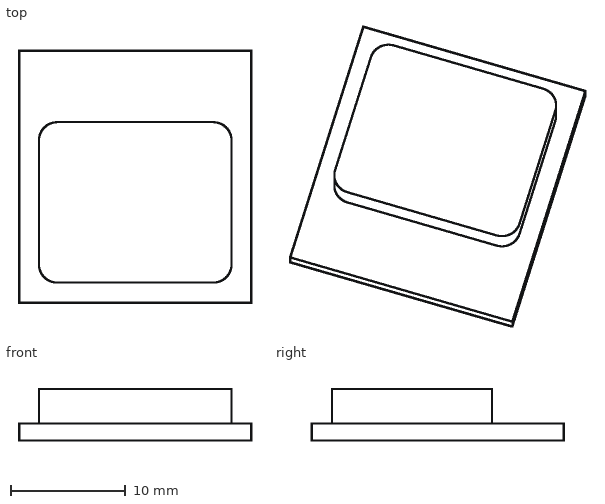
import cadquery as cq

board_width = 20.25
board_length = 22.0
board_thickness = 1.5

total_height = 4.5
can_width = 16.8
can_length = 14.0
can_height = total_height - board_thickness
can_corner_radius = 1.6
front_margin = 1.75
can_center_y = -board_length / 2 + front_margin + can_length / 2

board = cq.Workplane("XY").box(
    board_width, board_length, board_thickness, centered=(True, True, False)
)

can = (
    cq.Workplane("XY", origin=(0, can_center_y, board_thickness))
    .rect(can_width, can_length)
    .extrude(can_height)
    .edges("|Z")
    .fillet(can_corner_radius)
)

result = board.union(can)